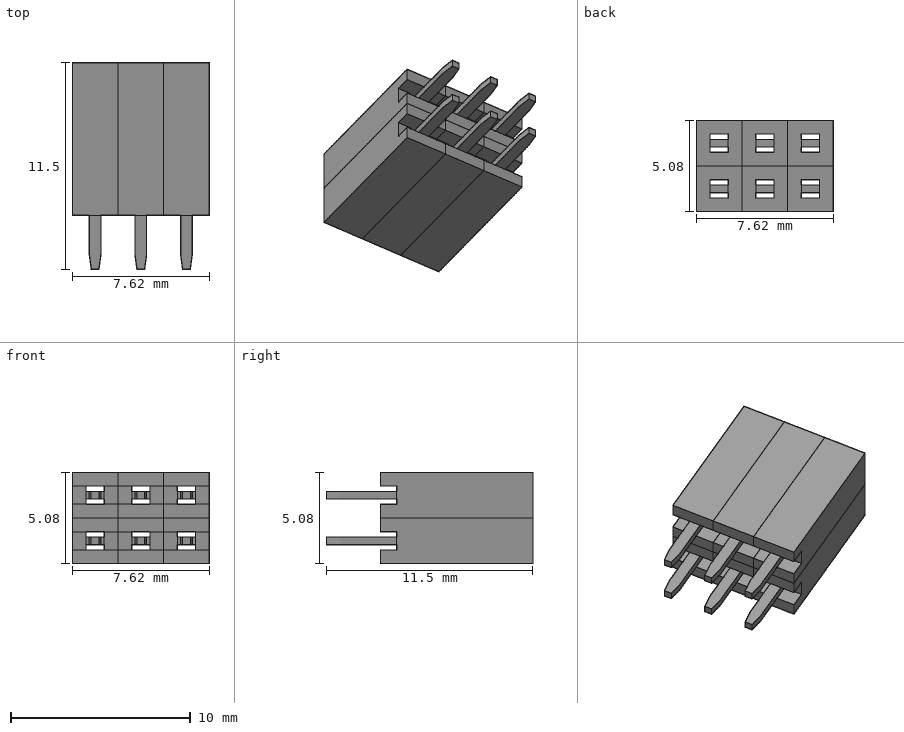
import cadquery as cq

COLUMNS = 3
ROWS = 2
PITCH = 2.54

TOTAL_LENGTH = 11.5
HOUSING_LENGTH = 8.5
CAVITY_SIZE = 1.0
SLOT_HEIGHT = CAVITY_SIZE
SLOT_DEPTH = 0.9

PIN_WIDTH = 0.65
PIN_HEIGHT = 0.44
TIP_WIDTH = PIN_HEIGHT
TAPER_LENGTH = 0.8
SHOULDER_SETBACK = 0.92
SHOULDER_LENGTH = 1.04

TIP_Y = HOUSING_LENGTH - TOTAL_LENGTH
TAPER_END_Y = TIP_Y + TAPER_LENGTH
SHOULDER_START_Y = SLOT_DEPTH + SHOULDER_SETBACK
SHOULDER_END_Y = SHOULDER_START_Y + SHOULDER_LENGTH


def bar(width, length, height, start_y=0.0):
    """A box centred on the Y axis in X and Z, running back from start_y."""
    box = cq.Workplane("XY").box(width, length, height, centered=(True, False, True))
    return box.translate((0, start_y, 0))


def make_housing():
    """A square block with a passage along Y and a slot across its front."""
    block = bar(PITCH, HOUSING_LENGTH, PITCH)
    passage = bar(CAVITY_SIZE, HOUSING_LENGTH, CAVITY_SIZE)
    front_slot = bar(PITCH, SLOT_DEPTH, SLOT_HEIGHT)
    return block.cut(passage).cut(front_slot)


def make_pin():
    """A flat pin with a tapered tip and a shoulder that spans the passage."""
    outline = [
        (-TIP_WIDTH / 2, TIP_Y),
        (TIP_WIDTH / 2, TIP_Y),
        (PIN_WIDTH / 2, TAPER_END_Y),
        (PIN_WIDTH / 2, SHOULDER_START_Y),
        (CAVITY_SIZE / 2, SHOULDER_START_Y),
        (CAVITY_SIZE / 2, SHOULDER_END_Y),
        (-CAVITY_SIZE / 2, SHOULDER_END_Y),
        (-CAVITY_SIZE / 2, SHOULDER_START_Y),
        (-PIN_WIDTH / 2, SHOULDER_START_Y),
        (-PIN_WIDTH / 2, TAPER_END_Y),
    ]
    return cq.Workplane("XY").polyline(outline).close().extrude(PIN_HEIGHT / 2, both=True)


def make_cell(column, row):
    """One connector cell: housing and pin joined at the shoulder, centred in the grid."""
    x = (column - (COLUMNS - 1) / 2) * PITCH
    z = (row - (ROWS - 1) / 2) * PITCH
    return make_housing().union(make_pin()).translate((x, 0, z))


cells = []
for row in range(ROWS):
    for column in range(COLUMNS):
        cells.append(make_cell(column, row).val())

result = cq.Compound.makeCompound(cells)